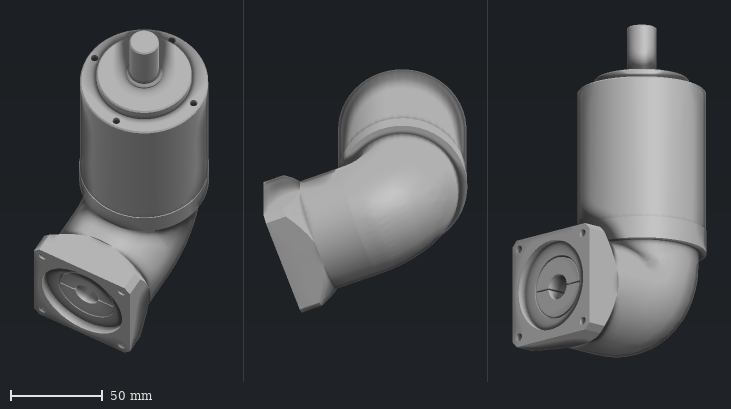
import cadquery as cq
import math


overall_height = 188.9
overall_depth = 105.0
elbow_radius = 31.0
bend_radius = 23.8

shaft_top = overall_height - elbow_radius
collar_top = 129.8
pilot_top = 128.3
body_top = 121.7
ring_top = 42.5
ring_bottom = 30.5

ring_diameter = 71.0
body_diameter = 70.0
pilot_diameter = 52.0
collar_diameter = 20.0
shaft_diameter = 16.0
edge_chamfer = 0.8

body_hole_circle_radius = 31.0
body_hole_diameter = 4.2
body_hole_depth = 9.5
body_hole_count = 4

flange_front = overall_depth - ring_diameter / 2
flange_back = 48.2
cone_start = 48.7
cone_length = 9.3
flange_side = 60.0
flange_corner_chamfer = 3.4
flange_hole_spacing = 49.5
flange_hole_diameter = 4.3
flange_hole_depth = 14.5
drill_tip_angle = 118.0

recess_diameter = 50.2
recess_depth = 5.1
gap_outer_diameter = 35.3
gap_inner_diameter = 33.2
gap_depth = 15.1
bore_diameter = 14.2
bore_depth = 22.7
clamp_slot_width = 1.0


def cylinder_up(diameter, bottom, top):
    """Cylinder on the output axis between two heights."""
    return cq.Workplane("XY").workplane(offset=bottom).circle(diameter / 2).extrude(top - bottom)


def cylinder_out(diameter, start, end):
    """Cylinder on the motor axis between two distances along -Y."""
    return cq.Workplane("XZ").workplane(offset=start).circle(diameter / 2).extrude(end - start)


def drill(diameter, depth):
    """Drill shape with its mouth at the origin, pointing down -Z to a conical tip."""
    radius = diameter / 2
    tip_length = radius / math.tan(math.radians(drill_tip_angle / 2))
    profile = [(0, 0), (radius, 0), (radius, -depth), (0, -depth - tip_length)]
    return cq.Workplane("XZ").polyline(profile).close().revolve(360, (0, 0), (0, 1))


def make_output_end():
    ring = cylinder_up(ring_diameter, ring_bottom, ring_top)
    body = cylinder_up(body_diameter, ring_top, body_top).faces(">Z").chamfer(edge_chamfer)
    pilot = cylinder_up(pilot_diameter, body_top, pilot_top).faces(">Z").chamfer(edge_chamfer)
    collar = cylinder_up(collar_diameter, pilot_top, collar_top).faces(">Z").chamfer(edge_chamfer)
    shaft = cylinder_up(shaft_diameter, collar_top, shaft_top).faces(">Z").chamfer(edge_chamfer)
    output_end = ring.union(body).union(pilot).union(collar).union(shaft)
    for index in range(body_hole_count):
        hole = drill(body_hole_diameter, body_hole_depth)
        hole = hole.translate((body_hole_circle_radius, 0, body_top))
        angle = index * 360 / body_hole_count
        output_end = output_end.cut(hole.rotate((0, 0, 0), (0, 0, 1), angle))
    return output_end


def make_elbow():
    """Two crossing tubes joined by a quarter bend."""
    half_chord = math.sqrt(elbow_radius**2 - bend_radius**2)
    bend = (
        cq.Workplane("XY", origin=(0, 0, bend_radius))
        .moveTo(-half_chord, -bend_radius)
        .threePointArc((0, elbow_radius), (half_chord, -bend_radius))
        .close()
        .revolve(90, (0, -bend_radius), (-1, -bend_radius))
    )
    upright = cylinder_up(2 * elbow_radius, bend_radius, ring_bottom)
    level = cylinder_out(2 * elbow_radius, bend_radius, flange_back)
    return bend.union(upright).union(level)


def make_flange():
    """Square flange with clipped corners, turned to a cone at the back."""
    thickness = flange_front - flange_back
    square = (
        cq.Workplane("XZ")
        .workplane(offset=flange_back)
        .rect(flange_side, flange_side)
        .extrude(thickness)
        .edges("|Y")
        .chamfer(flange_corner_chamfer)
    )
    half_side = flange_side / 2
    corner_radius = math.hypot(half_side, half_side - flange_corner_chamfer)
    turned_profile = [
        (0, -flange_back),
        (elbow_radius, -flange_back),
        (elbow_radius, -cone_start),
        (corner_radius, -cone_start - cone_length),
        (corner_radius, -flange_front),
        (0, -flange_front),
    ]
    turned = cq.Workplane("XY").polyline(turned_profile).close().revolve(360, (0, 0), (0, 1))
    flange = square.intersect(turned)
    hole = drill(flange_hole_diameter, flange_hole_depth).rotate((0, 0, 0), (1, 0, 0), 90)
    for side_x in (-1, 1):
        for side_z in (-1, 1):
            x = side_x * flange_hole_spacing / 2
            z = side_z * flange_hole_spacing / 2
            flange = flange.cut(hole.translate((x, -flange_front, z)))
    return flange


def make_motor_cavity():
    """Recess in the flange, with the gap, bore and clamp slots of the hub in its floor."""
    floor = flange_front - recess_depth
    recess = cylinder_out(recess_diameter, floor, flange_front)
    gap_bottom = floor - gap_depth
    gap = cylinder_out(gap_outer_diameter, gap_bottom, floor)
    gap = gap.cut(cylinder_out(gap_inner_diameter, gap_bottom, floor))
    bore = cylinder_out(bore_diameter, floor - bore_depth, floor)
    clamp_slots = (
        cq.Workplane("XZ")
        .workplane(offset=gap_bottom)
        .rect(gap_inner_diameter + clamp_slot_width, clamp_slot_width)
        .extrude(gap_depth)
    )
    return recess.union(gap).union(bore).union(clamp_slots)


result = make_output_end().union(make_elbow()).union(make_flange()).cut(make_motor_cavity())